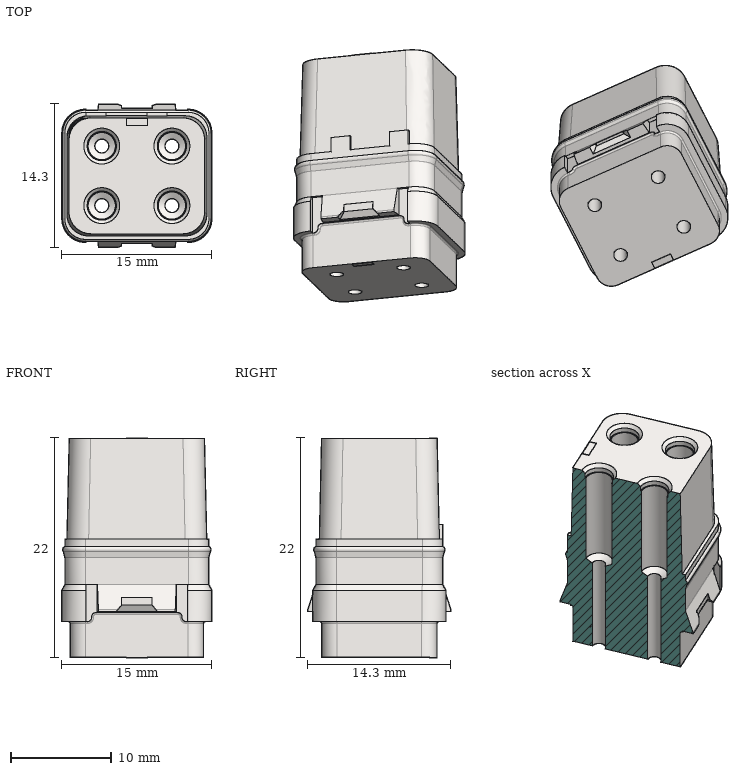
import cadquery as cq
import math

SKIRT_BOTTOM = 3.57
ARCH_TOP = 4.47
SKIRT_SHOULDER = 6.70
SKIRT_TOP = 7.27
BEAD_BOTTOM = 9.95
BEAD_TOP = 11.10
COLLAR_TOP = 11.80
BODY_TOP = 21.87

LOWER = (13.34, 11.54, 1.55)
COLLAR = (14.38, 12.68, 2.05)
TOWER_FOOT = (13.98, 12.00, 2.18)
TOWER_TOP = (13.52, 11.56, 2.15)
SKIRT = (15.00, 13.32, 2.40)
COLLAR_HALF_WIDTH = COLLAR[1] / 2
LOWER_HALF_WIDTH = LOWER[1] / 2
UNDERSIDE_FILLET = 0.18
SELECTION_MARGIN = 0.01

ROOT_OVERLAP = 0.50

BEAD_OVERHANG = 0.21
BEAD_NOSE_RADIUS = 0.27
BEAD_NOSE_TUCK = 0.05

WINDOW_LENGTH = 10.16
WINDOW_HALF_WIDTH = 6.00
ARCH_HALF_LENGTH = 4.51
ARCH_BEND_RADIUS = 0.42

WEDGE_ROOT_LENGTH = 7.94
WEDGE_TIP_LENGTH = 7.66
WEDGE_TIP_REACH = 14.30 / 2
WEDGE_BOTTOM = 4.57
WEDGE_LAND = 0.20
NOTCH_HALF_LENGTH = 1.52
NOTCH_TOP = 5.97
NOTCH_STEP = 5.22
NOTCH_DEPTH_REACH = 6.75
NOTCH_FOOT_REACH = 6.35
NOTCH_FLARE = 0.55

CAVITY_PITCH_X = 7.00
CAVITY_PITCH_Y = 5.94
MOUTH_DIAMETER = 3.58
THROAT_DIAMETER = 2.92
BORE_DIAMETER = 2.72
PIN_DIAMETER = 1.36
MOUTH_DEPTH = 0.35
THROAT_DEPTH = 0.85
BORE_DEPTH = 11.0
BORE_CONE_SLOPE = 30.0

PAD_LENGTH = 2.08
PAD_WIDTH = 0.72
PAD_CENTER_Y = 5.37
PAD_HEIGHT = 0.05

KEY_RIB_LENGTH = 1.97
KEY_RIB_STARTS = (-5.07, 1.03)
KEY_RIB_HEIGHT = 1.47


def rounded_plate(size, bottom, top):
    length, width, radius = size
    plate = cq.Workplane("XY").workplane(offset=bottom).rect(length, width).extrude(top - bottom)
    return plate.edges("|Z").fillet(radius)


def rounded_loft(lower_size, upper_size, bottom, top):
    """Straight-sided transition between two rounded rectangles."""
    sections = []
    for (length, width, radius), height in ((lower_size, bottom), (upper_size, top)):
        section = cq.Sketch().rect(length, width).vertices().fillet(radius)
        sections.append(section.moved(cq.Location(cq.Vector(0, 0, height))))
    return cq.Workplane("XY").placeSketch(*sections).loft(ruled=True)


def make_bead():
    """Ring with a round upper nose and a sloping underside, swept around the collar."""
    inner = COLLAR_HALF_WIDTH - ROOT_OVERLAP
    outer = COLLAR_HALF_WIDTH + BEAD_OVERHANG
    nose_bottom = BEAD_TOP - 2 * BEAD_NOSE_RADIUS
    path = rounded_plate(COLLAR, BEAD_TOP, COLLAR_TOP).faces("<Z").wires()
    return (
        cq.Workplane("YZ")
        .moveTo(inner, BEAD_TOP)
        .lineTo(outer - BEAD_NOSE_RADIUS, BEAD_TOP)
        .threePointArc((outer, BEAD_TOP - BEAD_NOSE_RADIUS), (outer - BEAD_NOSE_TUCK, nose_bottom))
        .lineTo(COLLAR_HALF_WIDTH, BEAD_BOTTOM)
        .lineTo(inner, BEAD_BOTTOM)
        .close()
        .sweep(path, transition="round")
    )


def make_window_cutter():
    """Block that opens the skirt and sinks the wall behind it on the -Y side."""
    depth = SKIRT[1] / 2 - WINDOW_HALF_WIDTH
    return cq.Workplane("XY").box(
        WINDOW_LENGTH, depth, SKIRT_TOP - SKIRT_BOTTOM, centered=(True, False, False)
    ).translate((0, -SKIRT[1] / 2, SKIRT_BOTTOM))


def make_arch_cutter():
    """Raised arch under the -Y side, with an S-shaped bend at each end."""
    r = ARCH_BEND_RADIUS
    diagonal = r * math.sqrt(0.5)
    x = ARCH_HALF_LENGTH
    depth = 2 * (COLLAR_HALF_WIDTH - LOWER_HALF_WIDTH)
    return (
        cq.Workplane("XZ", origin=(0, -LOWER_HALF_WIDTH, 0))
        .moveTo(-x - r, SKIRT_BOTTOM)
        .threePointArc(
            (-x - r + diagonal, SKIRT_BOTTOM + r - diagonal), (-x, SKIRT_BOTTOM + r)
        )
        .lineTo(-x, ARCH_TOP - r)
        .threePointArc((-x + r - diagonal, ARCH_TOP - r + diagonal), (-x + r, ARCH_TOP))
        .lineTo(x - r, ARCH_TOP)
        .threePointArc((x - r + diagonal, ARCH_TOP - r + diagonal), (x, ARCH_TOP - r))
        .lineTo(x, SKIRT_BOTTOM + r)
        .threePointArc((x + r - diagonal, SKIRT_BOTTOM + r - diagonal), (x + r, SKIRT_BOTTOM))
        .close()
        .extrude(depth)
    )


def make_wedge():
    """Latch wedge on the -Y side, with a notch in the middle of its tip."""
    root = WINDOW_HALF_WIDTH
    profile = (
        cq.Workplane("YZ")
        .moveTo(-root, SKIRT_TOP)
        .lineTo(-COLLAR_HALF_WIDTH, SKIRT_TOP)
        .lineTo(-WEDGE_TIP_REACH, WEDGE_BOTTOM + WEDGE_LAND)
        .lineTo(-WEDGE_TIP_REACH, WEDGE_BOTTOM)
        .lineTo(-root, WEDGE_BOTTOM)
        .close()
        .extrude(WEDGE_ROOT_LENGTH / 2, both=True)
    )
    tapered_sides = (
        cq.Workplane("XY").workplane(offset=WEDGE_BOTTOM)
        .moveTo(-WEDGE_ROOT_LENGTH / 2, -root)
        .lineTo(-WEDGE_TIP_LENGTH / 2, -WEDGE_TIP_REACH)
        .lineTo(WEDGE_TIP_LENGTH / 2, -WEDGE_TIP_REACH)
        .lineTo(WEDGE_ROOT_LENGTH / 2, -root)
        .close()
        .extrude(SKIRT_TOP - WEDGE_BOTTOM)
    )
    flare_end = NOTCH_HALF_LENGTH + NOTCH_FLARE
    notch_outline = (
        cq.Workplane("XZ")
        .moveTo(-NOTCH_HALF_LENGTH, NOTCH_TOP)
        .lineTo(NOTCH_HALF_LENGTH, NOTCH_TOP)
        .lineTo(NOTCH_HALF_LENGTH, NOTCH_STEP)
        .lineTo(flare_end, WEDGE_BOTTOM)
        .lineTo(-flare_end, WEDGE_BOTTOM)
        .lineTo(-NOTCH_HALF_LENGTH, NOTCH_STEP)
        .close()
        .extrude(WEDGE_TIP_REACH)
    )
    notch_depth = (
        cq.Workplane("YZ")
        .moveTo(-WEDGE_TIP_REACH, NOTCH_TOP)
        .lineTo(-NOTCH_DEPTH_REACH, NOTCH_TOP)
        .lineTo(-NOTCH_DEPTH_REACH, NOTCH_STEP)
        .lineTo(-NOTCH_FOOT_REACH, WEDGE_BOTTOM)
        .lineTo(-WEDGE_TIP_REACH, WEDGE_BOTTOM)
        .close()
        .extrude(flare_end, both=True)
    )
    return profile.intersect(tapered_sides).cut(notch_outline.intersect(notch_depth))


def on_both_sides(shape):
    """The -Y feature together with its mirror image on the +Y side."""
    return shape.union(shape.mirror("XZ"))


def make_skirt():
    straight = rounded_plate(SKIRT, SKIRT_BOTTOM, SKIRT_SHOULDER)
    return straight.union(rounded_loft(SKIRT, COLLAR, SKIRT_SHOULDER, SKIRT_TOP))


def make_shell():
    """Collar and skirt on the lower body, with the root of the underside filleted."""
    shell = rounded_plate(COLLAR, SKIRT_BOTTOM, COLLAR_TOP)
    shell = shell.union(make_skirt())
    shell = shell.cut(on_both_sides(make_window_cutter()))
    shell = shell.cut(on_both_sides(make_arch_cutter()))
    shell = shell.union(rounded_plate(LOWER, 0, SKIRT_TOP))
    reach_x = LOWER[0] / 2 + SELECTION_MARGIN
    reach_y = LOWER_HALF_WIDTH + SELECTION_MARGIN
    root_edges = cq.selectors.BoxSelector(
        (-reach_x, -reach_y, SKIRT_BOTTOM - SELECTION_MARGIN),
        (reach_x, reach_y, ARCH_TOP + SELECTION_MARGIN),
        boundingbox=True,
    )
    return shell.edges(root_edges).fillet(UNDERSIDE_FILLET)


def make_key_ribs():
    center_y = COLLAR_HALF_WIDTH - ROOT_OVERLAP
    centers = [(start + KEY_RIB_LENGTH / 2, center_y) for start in KEY_RIB_STARTS]
    return (
        cq.Workplane("XY").workplane(offset=COLLAR_TOP)
        .pushPoints(centers).rect(KEY_RIB_LENGTH, 2 * ROOT_OVERLAP).extrude(KEY_RIB_HEIGHT)
    )


def make_pads():
    pad_span = BODY_TOP + 2 * PAD_HEIGHT
    column = cq.Workplane("XY").box(PAD_LENGTH, PAD_WIDTH, pad_span)
    return column.translate((0, PAD_CENTER_Y, BODY_TOP / 2))


def make_cavities():
    """Stepped through holes: conical mouth, throat, bore, cone and pin hole."""
    cone_depth = (BORE_DIAMETER - PIN_DIAMETER) / 2 * math.tan(math.radians(BORE_CONE_SLOPE))
    cone_bottom = BODY_TOP - BORE_DEPTH - cone_depth
    cavity = (
        cq.Workplane("XZ")
        .moveTo(0, BODY_TOP)
        .lineTo(MOUTH_DIAMETER / 2, BODY_TOP)
        .lineTo(THROAT_DIAMETER / 2, BODY_TOP - MOUTH_DEPTH)
        .lineTo(THROAT_DIAMETER / 2, BODY_TOP - THROAT_DEPTH)
        .lineTo(BORE_DIAMETER / 2, BODY_TOP - THROAT_DEPTH)
        .lineTo(BORE_DIAMETER / 2, BODY_TOP - BORE_DEPTH)
        .lineTo(PIN_DIAMETER / 2, cone_bottom)
        .lineTo(PIN_DIAMETER / 2, 0)
        .lineTo(0, 0)
        .close()
        .revolve(360, (0, 0, 0), (0, 1, 0))
        .val()
    )
    centers = cq.Workplane("XY").rarray(CAVITY_PITCH_X, CAVITY_PITCH_Y, 2, 2)
    return centers.eachpoint(lambda place: cavity.moved(place), combine=False)


result = make_shell()
result = result.union(rounded_loft(TOWER_FOOT, TOWER_TOP, COLLAR_TOP, BODY_TOP))
result = result.union(make_bead())
result = result.union(on_both_sides(make_wedge()))
result = result.union(make_key_ribs())
result = result.union(make_pads())
result = result.cut(make_cavities())